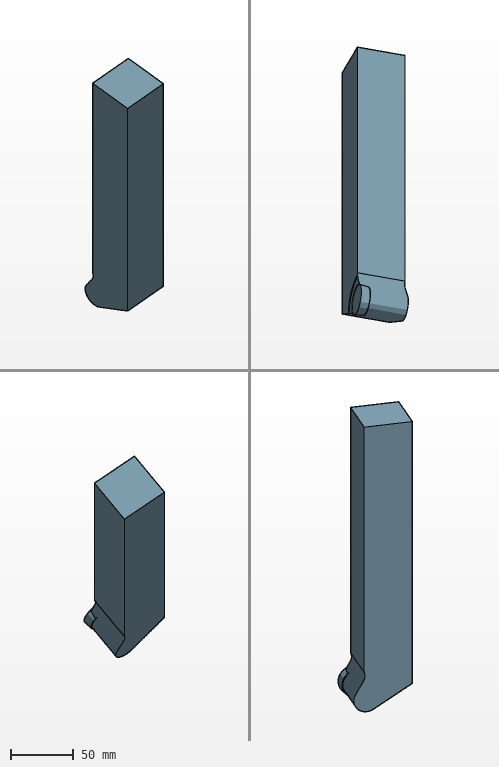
import cadquery as cq
import math

overall_width = 50.34
overall_height = 251.34
shank_size = 40.0

insert_radius = 12.5
insert_thickness = 7.94
clearance_angle = math.radians(7)
insert_seat_radius = insert_radius - insert_thickness * math.tan(clearance_angle)

rake_y = shank_size
inward = cq.Vector(0, -1, 0)

insert_x = insert_radius - overall_width
insert_z = insert_radius
rake_center = cq.Vector(insert_x, rake_y, insert_z)

nose_radius = 10.7
flank_angle = math.radians(30)
gullet_radius = 8.0
gullet_depth = 0.65

relief_radius = 21.5
relief_depth = 0.7


def nose_point(angle):
    """Point on the nose arc at the given angle from +X."""
    return (insert_x + nose_radius * math.cos(angle), insert_z + nose_radius * math.sin(angle))


def make_insert():
    return cq.Workplane(
        obj=cq.Solid.makeCone(insert_radius, insert_seat_radius, insert_thickness, rake_center, inward)
    )


def make_relief():
    return cq.Workplane(obj=cq.Solid.makeCylinder(relief_radius, relief_depth, rake_center, inward))


def make_holder():
    left_x = -shank_size
    upper_tangent = nose_point(math.pi - flank_angle)
    lower_tangent = nose_point(flank_angle - math.pi / 2)
    nose_middle = nose_point(-3 * math.pi / 4)

    heel_z = lower_tangent[1] - lower_tangent[0] * math.tan(flank_angle)

    normal_x = -math.cos(flank_angle)
    normal_z = math.sin(flank_angle)
    center_x = left_x + gullet_depth - gullet_radius
    flank_run = center_x - gullet_radius * normal_x - upper_tangent[0]
    center_z = upper_tangent[1] + flank_run / math.tan(flank_angle) + gullet_radius * normal_z
    gullet_end = (center_x - gullet_radius * normal_x, center_z - gullet_radius * normal_z)
    gullet_middle = (center_x + gullet_radius, center_z)
    gullet_top = (left_x, center_z + math.sqrt(gullet_radius**2 - (left_x - center_x) ** 2))

    blank = (
        cq.Workplane("XZ")
        .moveTo(0, heel_z)
        .lineTo(0, overall_height)
        .lineTo(left_x, overall_height)
        .lineTo(*gullet_top)
        .threePointArc(gullet_middle, gullet_end)
        .lineTo(*upper_tangent)
        .threePointArc(nose_middle, lower_tangent)
        .close()
        .extrude(-shank_size)
    )
    return blank.cut(make_relief()).cut(make_insert())


holder = make_holder()
insert = make_insert()

result = cq.Compound.makeCompound([holder.val(), insert.val()])